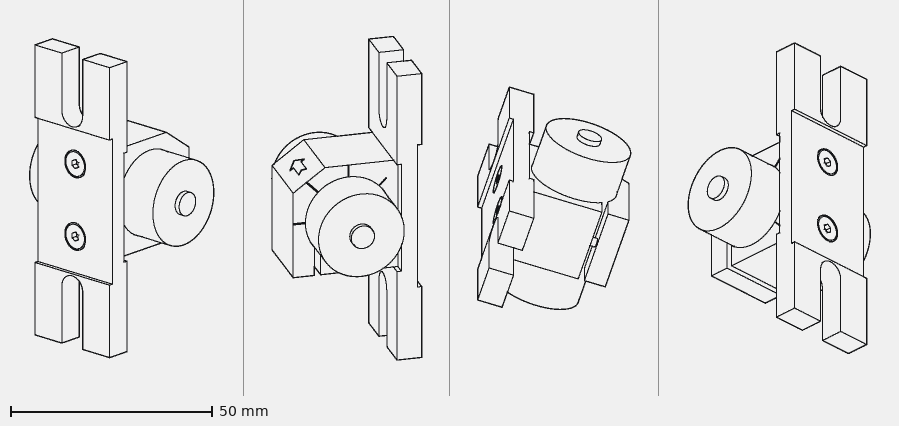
import cadquery as cq
import math


PLATE_WIDTH = 25.45
PLATE_HEIGHT = 76.2
PLATE_THICKNESS = 6.4
RELIEF_HEIGHT = 38.1
RELIEF_DEPTH = 1.1
CHANNEL_DEPTH = 1.15
SLOT_WIDTH = 7.1
SLOT_LENGTH = 18.5

SCREW_SPACING = 19.05
HEAD_DIAMETER = 7.1
HEAD_CHAMFER = 0.4
SOCKET_SIDES = 6
SOCKET_ACROSS_FLATS = 2.05
SOCKET_DEPTH = 1.5

HOUSING_WIDTH = 19.05
HOUSING_DEPTH = 27.05
HOUSING_HEIGHT = 28.65
CORNER_CUT_Y = 8.2
CORNER_CUT_Z = 5.95
SLIT_WIDTH = 1.6
JAW_THICKNESS = 5.5
CLAMP_SCREW_DIAMETER = 2.3
CLAMP_SCREW_EDGE_DISTANCE = 2.8

ROTOR_DIAMETER = 22.2
ROTOR_LENGTH = 42.0
BOSS_DIAMETER = 6.0
OVERALL_LENGTH = 44.7
BORE_CLEARANCE = 0.1

MARK_WIDTH = 0.3
SHORT_MARK_WIDTH = 0.15
MARK_DEPTH = 0.15
SHORT_MARK_LENGTH = 2.6
ARROW_TAIL_X = -3.6
ARROW_NOTCH_X = -2.4
ARROW_HEAD_X = 1.3
ARROW_TIP_X = 4.1
ARROW_SHAFT_HALF_WIDTH = 1.2
ARROW_HEAD_HALF_WIDTH = 2.3

HOUSING_TOP = HOUSING_HEIGHT / 2
HOUSING_BACK = HOUSING_TOP
BORE_RADIUS = ROTOR_DIAMETER / 2 + BORE_CLEARANCE
SLIT_BACK = HOUSING_BACK - JAW_THICKNESS
SLIT_FRONT = SLIT_BACK - SLIT_WIDTH
HOUSING_FRONT = HOUSING_BACK - HOUSING_DEPTH
PLATE_BACK = HOUSING_FRONT + CHANNEL_DEPTH
PLATE_FRONT = PLATE_BACK - PLATE_THICKNESS
RELIEF_FACE = PLATE_FRONT + RELIEF_DEPTH


def box(x_range, y_range, z_range):
    """Box between the given limits along each axis."""
    spans = [high - low for low, high in (x_range, y_range, z_range)]
    corner = (x_range[0], y_range[0], z_range[0])
    return cq.Workplane("XY").box(*spans, centered=False).translate(corner)


def x_cylinder(diameter, length):
    """Cylinder on the rotor axis, centred on the origin."""
    return cq.Workplane("YZ").circle(diameter / 2).extrude(length / 2, both=True)


def end_slot(side):
    """Open slot with a round inner end, at the top (side=1) or bottom (side=-1) of the plate."""
    radius = SLOT_WIDTH / 2
    end_z = PLATE_HEIGHT / 2
    arc_z = end_z - SLOT_LENGTH + radius
    return (
        cq.Workplane("XZ", origin=(0, PLATE_FRONT, 0))
        .moveTo(-radius, side * end_z)
        .lineTo(-radius, side * arc_z)
        .threePointArc((0, side * (arc_z - radius)), (radius, side * arc_z))
        .lineTo(radius, side * end_z)
        .close()
        .extrude(-PLATE_THICKNESS)
    )


def make_plate():
    """Slotted plate, relieved in front and channelled behind to seat the housing."""
    half_width = PLATE_WIDTH / 2
    half_height = PLATE_HEIGHT / 2
    width_range = (-half_width, half_width)
    plate = box(width_range, (PLATE_FRONT, PLATE_BACK), (-half_height, half_height))
    relief = box(width_range, (PLATE_FRONT, RELIEF_FACE), (-RELIEF_HEIGHT / 2, RELIEF_HEIGHT / 2))
    channel = box(width_range, (HOUSING_FRONT, PLATE_BACK), (-HOUSING_TOP, HOUSING_TOP))
    plate = plate.cut(relief).cut(channel)
    for side in (-1, 1):
        plate = plate.cut(end_slot(side))
        plate = plate.cut(screw_head_recess(side * SCREW_SPACING / 2))
    return plate


def screw_head_recess(z):
    """Groove left by the chamfered rim of a flush screw head, with the hex socket at its centre."""
    face = cq.Workplane("XZ", origin=(0, RELIEF_FACE, z))
    head_radius = HEAD_DIAMETER / 2
    rim = face.circle(head_radius).extrude(-HEAD_CHAMFER)
    head_cone = cq.Workplane(
        cq.Solid.makeCone(
            head_radius - HEAD_CHAMFER,
            head_radius,
            HEAD_CHAMFER,
            pnt=cq.Vector(0, RELIEF_FACE, z),
            dir=cq.Vector(0, 1, 0),
        )
    )
    half_corner_angle = 180 / SOCKET_SIDES
    corner_diameter = SOCKET_ACROSS_FLATS / math.cos(math.radians(half_corner_angle))
    socket_plane = face.transformed(rotate=(0, 0, half_corner_angle))
    socket = socket_plane.polygon(SOCKET_SIDES, corner_diameter).extrude(-SOCKET_DEPTH)
    return rim.cut(head_cone).union(socket)


def index_mark(angle, length, width):
    """Radial mark on the -X face of the housing, at an angle from +Y towards +Z."""
    face_x = -HOUSING_WIDTH / 2
    mark = box(
        (face_x, face_x + MARK_DEPTH),
        (BORE_RADIUS, BORE_RADIUS + length),
        (-width / 2, width / 2),
    )
    return mark.rotate((0, 0, 0), (1, 0, 0), angle)


def direction_arrow():
    """Notched arrow pointing along +X, sunk into the sloping corner face."""
    upper_half = [
        (ARROW_TAIL_X, ARROW_SHAFT_HALF_WIDTH),
        (ARROW_HEAD_X, ARROW_SHAFT_HALF_WIDTH),
        (ARROW_HEAD_X, ARROW_HEAD_HALF_WIDTH),
    ]
    lower_half = [(x, -half_width) for x, half_width in reversed(upper_half)]
    outline = upper_half + [(ARROW_TIP_X, 0)] + lower_half + [(ARROW_NOTCH_X, 0)]
    slope = cq.Plane(
        origin=(0, HOUSING_BACK - CORNER_CUT_Y / 2, HOUSING_TOP - CORNER_CUT_Z / 2),
        xDir=(1, 0, 0),
        normal=(0, CORNER_CUT_Z, CORNER_CUT_Y),
    )
    return cq.Workplane(slope).polyline(outline).close().extrude(-MARK_DEPTH)


def make_housing():
    """Clamp block with its bore, slit, bridging clamp screw and engraved marks."""
    width_range = (-HOUSING_WIDTH / 2, HOUSING_WIDTH / 2)
    housing = (
        cq.Workplane("YZ")
        .moveTo(HOUSING_FRONT, -HOUSING_TOP)
        .lineTo(HOUSING_BACK, -HOUSING_TOP)
        .lineTo(HOUSING_BACK, HOUSING_TOP - CORNER_CUT_Z)
        .lineTo(HOUSING_BACK - CORNER_CUT_Y, HOUSING_TOP)
        .lineTo(HOUSING_FRONT, HOUSING_TOP)
        .close()
        .extrude(HOUSING_WIDTH / 2, both=True)
    )
    slit = box(width_range, (SLIT_FRONT, SLIT_BACK), (-HOUSING_TOP, 0))
    housing = housing.cut(slit).cut(x_cylinder(2 * BORE_RADIUS, HOUSING_WIDTH))

    clamp_screw = (
        cq.Workplane("XZ", origin=(0, SLIT_FRONT, CLAMP_SCREW_EDGE_DISTANCE - HOUSING_TOP))
        .circle(CLAMP_SCREW_DIAMETER / 2)
        .extrude(-SLIT_WIDTH)
    )
    housing = housing.union(clamp_screw)

    for angle in (0, 45, 90):
        housing = housing.cut(index_mark(angle, HOUSING_TOP, MARK_WIDTH))
    for angle in (135, 225):
        housing = housing.cut(index_mark(angle, SHORT_MARK_LENGTH, SHORT_MARK_WIDTH))
    return housing.cut(direction_arrow())


def make_mount():
    """Plate and clamp housing as one rigid body."""
    return make_plate().union(make_housing())


def make_rotor():
    """Barrel with a small boss on each end, free in the housing bore."""
    return x_cylinder(ROTOR_DIAMETER, ROTOR_LENGTH).union(x_cylinder(BOSS_DIAMETER, OVERALL_LENGTH))


mount = make_mount()
rotor = make_rotor()

result = cq.Compound.makeCompound([mount.val(), rotor.val()])